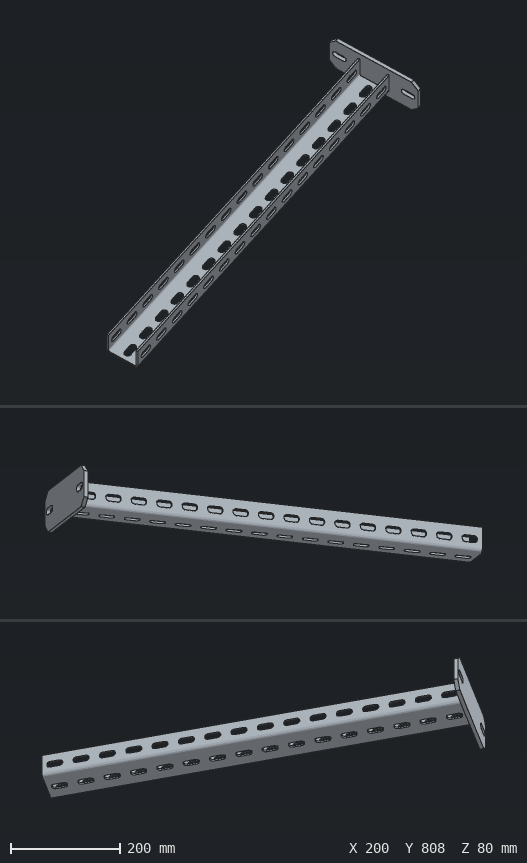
import cadquery as cq

plate_width = 200.0
plate_height = 80.0
plate_thickness = 8.0
corner_chamfer = 15.0
plate_slot_inset = 23.0

channel_length = 800.0
channel_width = 70.0
channel_height = 50.0
wall = 4.0
bend_outer_radius = 8.0
bend_inner_radius = bend_outer_radius - wall

slot_length = 30.0
slot_width = 13.0
slot_pitch = 50.0
slot_count = int(channel_length / slot_pitch)

channel_top = channel_height / 2
channel_bottom = -channel_height / 2
slot_positions_y = [-slot_pitch * (i + 0.5) for i in range(slot_count)]


def make_plate():
    """Plate with four chamfered corners and a horizontal slot near each side edge."""
    slot_x = plate_width / 2 - plate_slot_inset
    blank = (
        cq.Workplane("XZ")
        .rect(plate_width, plate_height)
        .extrude(-plate_thickness)
        .edges("|Y")
        .chamfer(corner_chamfer)
    )
    slots = (
        cq.Workplane("XZ")
        .pushPoints([(-slot_x, 0), (slot_x, 0)])
        .slot2D(slot_length, slot_width)
        .extrude(-plate_thickness)
    )
    return blank.cut(slots)


def make_bent_block(width, bottom, bend_radius):
    """Full-length block up to the channel's top edge, with rounded lower long edges."""
    return (
        cq.Workplane("XY", origin=(0, -channel_length / 2, bottom))
        .box(width, channel_length, channel_top - bottom, centered=(True, True, False))
        .edges("|Y and <Z")
        .fillet(bend_radius)
    )


def make_base_slots():
    """Row of slot cutters passing down through the channel's base."""
    return (
        cq.Workplane("XY")
        .pushPoints([(0, y) for y in slot_positions_y])
        .slot2D(slot_length, slot_width, angle=90)
        .extrude(-channel_height)
    )


def make_flange_slots():
    """Row of slot cutters passing sideways through both flanges at mid-height."""
    return (
        cq.Workplane("YZ")
        .pushPoints([(y, 0) for y in slot_positions_y])
        .slot2D(slot_length, slot_width)
        .extrude(channel_width, both=True)
    )


def make_channel():
    """Bent U-channel with slot rows through the base and both flanges."""
    outer = make_bent_block(channel_width, channel_bottom, bend_outer_radius)
    inner = make_bent_block(channel_width - 2 * wall, channel_bottom + wall, bend_inner_radius)
    return outer.cut(inner).cut(make_base_slots()).cut(make_flange_slots())


plate = make_plate()
channel = make_channel()
result = cq.Compound.makeCompound([plate.solids().val(), channel.solids().val()])